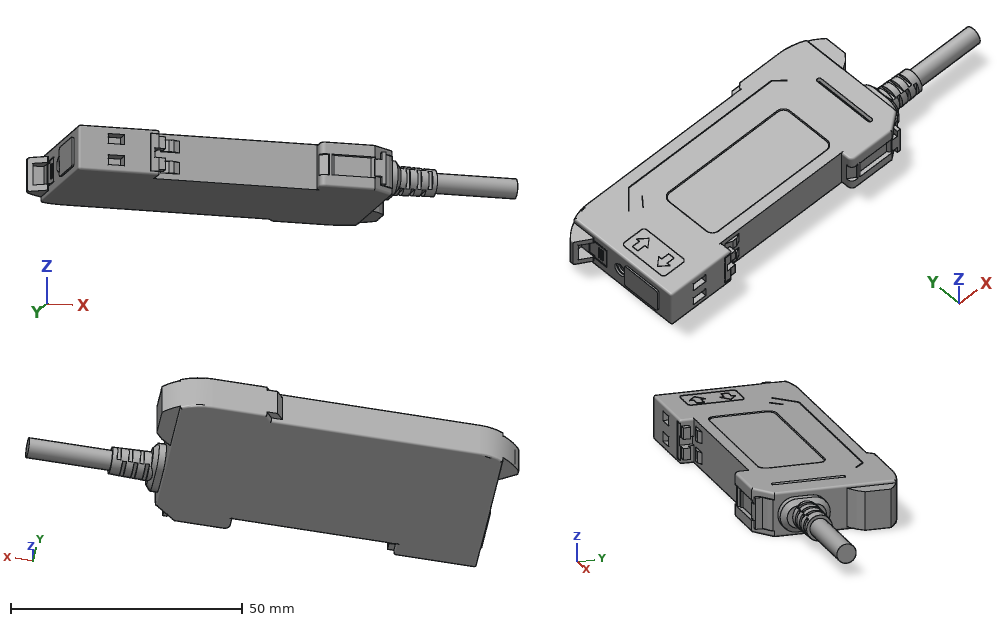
import cadquery as cq
import math

TOTAL_LENGTH = 105.0
CASE_THICKNESS = 10.1
HALF = CASE_THICKNESS / 2
CASE_LEFT = 4.1
CASE_RIGHT = 75.5
EDGE_FILLET = 0.5

FOOT_HEIGHT = 3.3
LEFT_FOOT_END = 22.3
RIGHT_FOOT_START = 58.5
RIGHT_FOOT_FILLET = 1.3
BACK_Y = 31.5
HUMP_Y = 33.0
HUMP_BASE_X = 55.4
HUMP_TOP_X = 56.7
NOSE_ARC_START = 9.2
NOSE_RADIUS = 12.2
TAIL_ARC_START = 68.7
TAIL_RADIUS = 15.5
FOOT_BEVEL_X = 70.7
FOOT_BEVEL_Y = 3.6

CLIP_INNER_Z = 1.0
CLIP_OUTER_Z = 3.7

CABLE_Y = 10.1
CABLE_RADIUS = 2.2
FLANGE_RADIUS = 3.8
FLANGE_LENGTH = 11.4
FLANGE_END = 77.1
FLANGE_TAPER = 1.0
FLANGE_TAPER_ANGLE = 50
RELIEF_START_RADIUS = 3.3
RELIEF_END_RADIUS = 2.9
RELIEF_END = 86.7
RELIEF_SLOT_WIDTH = 0.8
RELIEF_SLOT_PITCH = 2.5
RELIEF_SLOTS_PER_SIDE = 3
FACE_SLOT_X = 79.0
EDGE_SLOT_X = FACE_SLOT_X + RELIEF_SLOT_PITCH / 2

MARK_DEPTH = 0.1


def box(x0, x1, y0, y1, z0, z1):
    """Axis-aligned block between two opposite corners."""
    return cq.Workplane("XY").box(x1 - x0, y1 - y0, z1 - z0, centered=False).translate((x0, y0, z0))


def slab(profile, half_width):
    """Closed XY profile made solid symmetrically about Z = 0."""
    return profile.extrude(half_width, both=True)


def both_sides(shape):
    """A shape together with its mirror image across Z = 0."""
    return shape.union(shape.mirror("XY"))


def nose_y(x):
    """Height of the rounded nose, tangent to the back edge."""
    return BACK_Y - NOSE_RADIUS + math.sqrt(NOSE_RADIUS**2 - (NOSE_ARC_START - x) ** 2)


def tail_y(x):
    """Height of the rounded tail, tangent to the top of the hump."""
    return HUMP_Y - TAIL_RADIUS + math.sqrt(TAIL_RADIUS**2 - (x - TAIL_ARC_START) ** 2)


def make_case():
    """Case with two feet, a rounded nose and a hump falling away into the tail."""
    nose_mid = (CASE_LEFT + NOSE_ARC_START) / 2
    tail_mid = (CASE_RIGHT + TAIL_ARC_START) / 2
    outline = (
        cq.Workplane("XY")
        .moveTo(CASE_LEFT, 0)
        .lineTo(LEFT_FOOT_END, 0)
        .lineTo(LEFT_FOOT_END, FOOT_HEIGHT)
        .lineTo(RIGHT_FOOT_START, FOOT_HEIGHT)
        .lineTo(RIGHT_FOOT_START, 0)
        .lineTo(FOOT_BEVEL_X, 0)
        .lineTo(CASE_RIGHT, FOOT_BEVEL_Y)
        .lineTo(CASE_RIGHT, tail_y(CASE_RIGHT))
        .threePointArc((tail_mid, tail_y(tail_mid)), (TAIL_ARC_START, HUMP_Y))
        .lineTo(HUMP_TOP_X, HUMP_Y)
        .lineTo(HUMP_BASE_X, BACK_Y)
        .lineTo(NOSE_ARC_START, BACK_Y)
        .threePointArc((nose_mid, nose_y(nose_mid)), (CASE_LEFT, nose_y(CASE_LEFT)))
        .close()
    )
    case = slab(outline, HALF)
    corners = (
        (CASE_LEFT, EDGE_FILLET),
        (LEFT_FOOT_END, EDGE_FILLET),
        (RIGHT_FOOT_START, RIGHT_FOOT_FILLET),
    )
    for corner_x, radius in corners:
        case = case.edges(cq.selectors.NearestToPointSelector((corner_x, 0, 0))).fillet(radius)

    between_feet = cq.selectors.BoxSelector(
        (LEFT_FOOT_END, FOOT_HEIGHT - 1, -CASE_THICKNESS),
        (RIGHT_FOOT_START, FOOT_HEIGHT + 1, CASE_THICKNESS),
    )
    rims = cq.selectors.StringSyntaxSelector("#Z") - between_feet
    return case.edges(rims).fillet(EDGE_FILLET)


def make_hump_ramp():
    """Narrower wedge leading from the back edge up to the hump."""
    ramp_half_width = 3.8
    ramp_start = 53.0
    ramp_top = 54.4
    embed = 1.0
    profile = cq.Workplane("XY").polyline(
        [
            (ramp_start, BACK_Y),
            (ramp_top, HUMP_Y),
            (HUMP_TOP_X + embed, HUMP_Y),
            (HUMP_TOP_X + embed, BACK_Y - embed),
            (ramp_start, BACK_Y - embed),
        ]
    )
    return slab(profile.close(), ramp_half_width)


def make_nose_latch():
    """Hooked latch ahead of the nose, hollow towards -Y."""
    latch_half_width = 3.8
    pocket_half_width = 2.4
    tip_x = 0.0
    tip_low_y = 26.5
    tip_high_y = nose_y(tip_x)
    root_y = 24.2
    root_x = CASE_LEFT + 0.5
    front_wall = 1.0
    tip_fillet = 0.4
    roof_y = 28.0
    arc_mid = (tip_x + root_x) / 2
    profile = (
        cq.Workplane("XY")
        .moveTo(root_x, root_y)
        .lineTo(CASE_LEFT - 0.3, root_y)
        .lineTo(tip_x, tip_low_y)
        .lineTo(tip_x, tip_high_y)
        .threePointArc((arc_mid, nose_y(arc_mid)), (root_x, nose_y(root_x)))
        .close()
    )
    pocket = box(tip_x + front_wall, CASE_LEFT, root_y, roof_y, -pocket_half_width, pocket_half_width)
    return slab(profile, latch_half_width).faces("<X").edges("|Y").fillet(tip_fillet).cut(pocket)


def make_tail_lug():
    """Lug carrying the tail curve past the end of the case."""
    lug_half_width = 4.4
    lug_end = 79.1
    root_x = CASE_RIGHT - 0.8
    root_y = 20.2
    arc_mid = (root_x + lug_end) / 2
    profile = (
        cq.Workplane("XY")
        .moveTo(root_x, root_y)
        .lineTo(CASE_RIGHT, root_y)
        .lineTo(77.7, 21.6)
        .lineTo(lug_end, 23.1)
        .lineTo(lug_end, tail_y(lug_end))
        .threePointArc((arc_mid, tail_y(arc_mid)), (root_x, tail_y(root_x)))
        .close()
    )
    return slab(profile, lug_half_width)


def make_rail_clips():
    """Two catches on the left foot, each facing a low hook on the case edge."""
    catch_end = 23.6
    catch = box(LEFT_FOOT_END - 1, catch_end, 0.3, 2.0, CLIP_INNER_Z, CLIP_OUTER_Z)
    hook_start, hook_end = 23.3, 27.6
    crest_y = FOOT_HEIGHT - 0.6
    embed_y = FOOT_HEIGHT + 0.5
    hook_profile = cq.Workplane("XY", origin=(0, 0, CLIP_INNER_Z)).polyline(
        [
            (hook_start, embed_y),
            (hook_start, FOOT_HEIGHT),
            (25.1, crest_y),
            (26.2, crest_y),
            (hook_end, FOOT_HEIGHT),
            (hook_end, embed_y),
        ]
    )
    hook = hook_profile.close().extrude(CLIP_OUTER_Z - CLIP_INNER_Z)
    return both_sides(catch.union(hook))


def cut_left_foot(body):
    """Two windows and a stepped end under the left foot, and the gap between the catches."""
    window_depth = 3.2
    windows = both_sides(box(10.7, 14.4, 0, window_depth, 1.3, 3.5))
    gap_start = 21.2
    gap = box(gap_start, LEFT_FOOT_END, 0, FOOT_HEIGHT, -CLIP_INNER_Z, CLIP_INNER_Z)
    step_start = 20.3
    step_depth = 0.2
    step_half_width = 4.2
    end_step = box(step_start, LEFT_FOOT_END, 0, step_depth, -step_half_width, step_half_width)
    return body.cut(windows).cut(gap).cut(end_step)


def cut_right_foot(body):
    """Channel under the right foot: a sloping entry, a rib and a stepped recess with a sloping end."""
    channel_half_width = 2.3
    entry_end = 60.4
    entry = cq.Workplane("XY").polyline(
        [(RIGHT_FOOT_START, 0), (entry_end, 0), (entry_end, 0.4), (RIGHT_FOOT_START, 1.6)]
    )
    recess_start, recess_end = 61.0, 70.9
    step_end, floor_end = 61.6, 70.0
    step_depth, recess_depth = 0.6, 1.0
    recess = cq.Workplane("XY").polyline(
        [
            (recess_start, 0),
            (recess_start, step_depth),
            (step_end, step_depth),
            (step_end, recess_depth),
            (floor_end, recess_depth),
            (recess_end, 0),
        ]
    )
    return body.cut(slab(entry.close(), channel_half_width)).cut(slab(recess.close(), channel_half_width))


def make_foot_stop():
    """Stop standing out of the bevelled corner of the right foot, with a narrower neck."""
    neck_half_width = 1.9
    stop_half_width = 3.6
    stop_start = 72.2
    embed = 2.6
    neck = box(FOOT_BEVEL_X, stop_start, 0, embed, -neck_half_width, neck_half_width)
    profile = cq.Workplane("XY").polyline(
        [
            (stop_start, 0),
            (73.2, 0),
            (73.2, 1.7),
            (74.5, 2.4),
            (CASE_RIGHT, FOOT_BEVEL_Y - 0.3),
            (CASE_RIGHT, FOOT_BEVEL_Y + 0.6),
            (stop_start, embed),
        ]
    )
    return slab(profile.close(), stop_half_width).union(neck)


def face_panel(plane_x, y0, y1, half_width, thickness):
    """Block of the given thickness starting at plane_x on the end face."""
    return box(plane_x, plane_x + thickness, y0, y1, -half_width, half_width)


def detail_left_face(body):
    """Raised label, round lamp recess and latch release on the -X end face."""
    label_rise = 0.4
    label_fillet = 0.6
    label = face_panel(CASE_LEFT - label_rise, 4.0, 14.3, 3.3, label_rise * 2)
    label = label.edges("|X").fillet(label_fillet)

    lamp_y = 16.0
    lamp_rim_radius = 1.7
    lamp_radius = 1.3
    lamp_depth = 1.0
    face = cq.Workplane("YZ").workplane(offset=CASE_LEFT).center(lamp_y, 0)
    lamp = face.circle(lamp_radius).extrude(lamp_depth)
    lamp_rim = face.circle(lamp_rim_radius).extrude(lamp_depth / 2)

    release_depth = 0.2
    neck_y = 24.0
    release = face_panel(CASE_LEFT, 20.3, neck_y, 2.7, release_depth)
    release = release.union(face_panel(CASE_LEFT, neck_y, 25.6, 2.3, release_depth))
    rib_width = 0.2
    rib_half_length = 1.6
    for rib_y in (21.4, 21.9, 22.6):
        rib = face_panel(CASE_LEFT, rib_y, rib_y + rib_width, rib_half_length, release_depth)
        release = release.cut(rib)

    return body.cut(lamp).cut(lamp_rim).cut(release).union(label)


def top_plane():
    """Workplane on the +Z face of the case."""
    return cq.Workplane("XY").workplane(offset=HALF)


def cut_display(body):
    """Shallow rounded display recess with sloping walls."""
    x0, x1 = 22.2, 58.8
    y0, y1 = 6.0, 21.4
    depth = 0.2
    corner_radius = 2.0
    outline = cq.Sketch().rect(x1 - x0, y1 - y0).vertices().fillet(corner_radius)
    center = ((x0 + x1) / 2, (y0 + y1) / 2)
    return body.cut(top_plane().center(*center).placeSketch(outline).extrude(-depth, taper=45))


def cut_vent(body):
    """Narrow round-ended groove near the cable end."""
    x, y0, y1 = 69.4, 5.0, 21.8
    width = 1.2
    depth = 0.7
    groove = top_plane().center(x, (y0 + y1) / 2).slot2D(y1 - y0, width, 90).extrude(-depth, taper=30)
    return body.cut(groove)


def arrow(center_x, center_y, direction):
    """Block arrow along X: direction is +1 or -1."""
    half_length = 2.1
    head_half_width = 1.8
    shaft_half_width = 0.8
    points = [
        (-half_length, -shaft_half_width),
        (0, -shaft_half_width),
        (0, -head_half_width),
        (half_length, 0),
        (0, head_half_width),
        (0, shaft_half_width),
        (-half_length, shaft_half_width),
    ]
    placed = [(center_x + direction * x, center_y + y) for x, y in points]
    return top_plane().polyline(placed).close().extrude(-2 * MARK_DEPTH)


def cut_arrow_key(body):
    """Rounded key panel holding two opposed arrows."""
    x0, x1 = 6.5, 13.2
    y0, y1 = 5.0, 18.0
    upper_arrow_y = 15.1
    lower_arrow_y = 8.2
    center_x = (x0 + x1) / 2
    panel = box(x0, x1, y0, y1, HALF - MARK_DEPTH, HALF).edges("|Z").fillet(0.8)
    body = body.cut(panel)
    return body.cut(arrow(center_x, upper_arrow_y, 1)).cut(arrow(center_x, lower_arrow_y, -1))


def scribe(start, end):
    """Hairline groove between two points of the top face."""
    line_width = 0.1
    dx = end[0] - start[0]
    dy = end[1] - start[1]
    middle = ((start[0] + end[0]) / 2, (start[1] + end[1]) / 2)
    plane = top_plane().center(*middle).transformed(rotate=(0, 0, math.degrees(math.atan2(dy, dx))))
    return plane.rect(math.hypot(dx, dy), line_width).extrude(-MARK_DEPTH)


def cut_scribed_lines(body):
    """Decorative line along the back edge with slanted ends, and a short companion."""
    border = [(14.2, 23.7), (18.8, 28.4), (62.0, 28.4), (64.4, 26.0)]
    for start, end in zip(border, border[1:]):
        body = body.cut(scribe(start, end))
    return body.cut(scribe((17.1, 22.3), (19.1, 24.6)))


def make_cable():
    """Flange, slotted strain relief and cable, all on one axis."""
    root_x = CASE_RIGHT - 0.5

    def axis_plane(x):
        return cq.Workplane("YZ").workplane(offset=x).center(CABLE_Y, 0)

    flange = axis_plane(root_x).slot2D(FLANGE_LENGTH, 2 * FLANGE_RADIUS).extrude(FLANGE_END - root_x)
    taper = (
        axis_plane(FLANGE_END)
        .slot2D(FLANGE_LENGTH, 2 * FLANGE_RADIUS)
        .extrude(FLANGE_TAPER, taper=FLANGE_TAPER_ANGLE)
    )
    relief = (
        axis_plane(FLANGE_END)
        .circle(RELIEF_START_RADIUS)
        .workplane(offset=RELIEF_END - FLANGE_END)
        .circle(RELIEF_END_RADIUS)
        .loft()
    )
    reach = 2 * RELIEF_START_RADIUS
    side_cut = box(-RELIEF_SLOT_WIDTH / 2, RELIEF_SLOT_WIDTH / 2, CABLE_RADIUS, reach, -reach, reach)
    for first_x, angles in ((FACE_SLOT_X, (90, 270)), (EDGE_SLOT_X, (0, 180))):
        for index in range(RELIEF_SLOTS_PER_SIDE):
            slot_x = first_x + index * RELIEF_SLOT_PITCH
            for angle in angles:
                slot = side_cut.rotate((0, 0, 0), (1, 0, 0), angle)
                relief = relief.cut(slot.translate((slot_x, CABLE_Y, 0)))

    cable = axis_plane(root_x).circle(CABLE_RADIUS).extrude(TOTAL_LENGTH - root_x)
    return flange.union(taper).union(relief).union(cable)


body = make_case()
body = cut_left_foot(body)
body = cut_right_foot(body)
for addition in (
    make_hump_ramp(),
    make_nose_latch(),
    make_tail_lug(),
    make_rail_clips(),
    make_foot_stop(),
    make_cable(),
):
    body = body.union(addition)

body = detail_left_face(body)
body = cut_display(body)
body = cut_vent(body)
body = cut_arrow_key(body)
result = cut_scribed_lines(body)